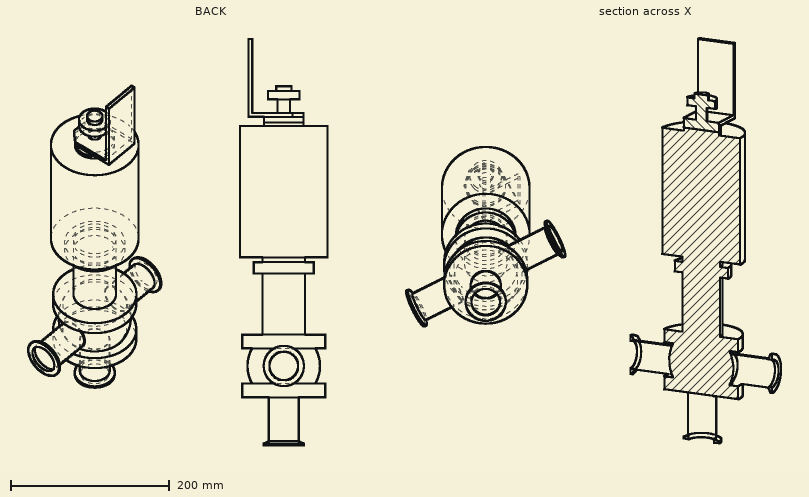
import cadquery as cq

port_axis_height = 100.5
lower_flange_bottom = 61.0
lower_flange_top = 78.5
upper_flange_bottom = 2 * port_axis_height - lower_flange_top
upper_flange_top = 2 * port_axis_height - lower_flange_bottom
clamp_bottom = 216.5
clamp_top = 231.0
actuator_bottom = 237.0
actuator_top = 402.5
seat_top = 406.5

ball_diameter = 91.5
flange_diameter = 105.0
neck_diameter = 54.0
clamp_diameter = 76.0
actuator_diameter = 110.5

port_length = 200.0 / 2
pipe_diameter = 38.0
bore_diameter = 36.0
ferrule_diameter = 50.5
ferrule_rim = 2.5
ferrule_length = 5.5

overall_height = 512.0
boss_diameter = 50.0
bracket_bottom = 413.5
bracket_thickness = 5.0
bracket_width = boss_diameter
bracket_left = -boss_diameter / 2
bracket_right = 44.5
bracket_corner = 14.5
stem_diameter = 16.0
stem_top = 452.5
collar_diameter = 40.0
collar_bottom = 435.5
collar_top = 446.5
cap_diameter = 19.5


def upright_cylinder(diameter, bottom, top):
    """Solid cylinder on the vertical axis."""
    return cq.Workplane("XY").workplane(offset=bottom).circle(diameter / 2).extrude(top - bottom)


def make_pipe(length):
    """Solid pipe on the Z axis with a tapered ferrule at its lower end, z = 0."""
    return (
        cq.Workplane("XZ")
        .moveTo(0, 0)
        .lineTo(ferrule_diameter / 2, 0)
        .lineTo(ferrule_diameter / 2, ferrule_rim)
        .lineTo(pipe_diameter / 2, ferrule_length)
        .lineTo(pipe_diameter / 2, length)
        .lineTo(0, length)
        .close()
        .revolve(360, (0, 0, 0), (0, 1, 0))
    )


def place_side_port(shape, side):
    """Move a shape from the Z axis to a side port; side is -1 for -Y and 1 for +Y."""
    turned = shape.rotate((0, 0, 0), (1, 0, 0), side * 90)
    return turned.translate((0, side * port_length, port_axis_height))


def make_ball():
    """Ball chamber, cut flat where it meets the two flanges."""
    ball = cq.Workplane("XY").sphere(ball_diameter / 2).translate((0, 0, port_axis_height))
    return ball.intersect(upright_cylinder(ball_diameter, lower_flange_bottom, upper_flange_top))


def make_valve():
    """Valve body, neck and actuator, with the seat for the indicator on top."""
    valve = make_pipe(lower_flange_bottom)
    valve = valve.cut(upright_cylinder(bore_diameter, 0, lower_flange_bottom))

    ball = make_ball()
    for side in (-1, 1):
        pipe = place_side_port(make_pipe(port_length), side)
        bore = place_side_port(upright_cylinder(bore_diameter, 0, port_length), side)
        valve = valve.union(pipe.cut(bore))
    valve = valve.union(ball)

    for diameter, bottom, top in (
        (flange_diameter, lower_flange_bottom, lower_flange_top),
        (flange_diameter, upper_flange_bottom, upper_flange_top),
        (neck_diameter, upper_flange_top, actuator_bottom),
        (clamp_diameter, clamp_bottom, clamp_top),
        (actuator_diameter, actuator_bottom, actuator_top),
        (boss_diameter, actuator_top, seat_top),
    ):
        valve = valve.union(upright_cylinder(diameter, bottom, top))
    return valve


def make_bracket():
    """L-shaped plate with two cut corners on its free horizontal end."""
    bracket = (
        cq.Workplane("XZ")
        .moveTo(bracket_left, bracket_bottom)
        .lineTo(bracket_right, bracket_bottom)
        .lineTo(bracket_right, overall_height)
        .lineTo(bracket_right - bracket_thickness, overall_height)
        .lineTo(bracket_right - bracket_thickness, bracket_bottom + bracket_thickness)
        .lineTo(bracket_left, bracket_bottom + bracket_thickness)
        .close()
        .extrude(bracket_width / 2, both=True)
    )
    return bracket.faces("<X").edges("|Z").chamfer(bracket_corner)


def make_indicator():
    """Boss, bracket and collared stem standing on the actuator seat."""
    indicator = make_bracket()
    for diameter, bottom, top in (
        (boss_diameter, seat_top, bracket_bottom),
        (stem_diameter, bracket_bottom, collar_bottom),
        (collar_diameter, collar_bottom, collar_top),
        (cap_diameter, collar_top, stem_top),
    ):
        indicator = indicator.union(upright_cylinder(diameter, bottom, top))
    return indicator


valve = make_valve()
indicator = make_indicator()
result = cq.Compound.makeCompound([*valve.solids().vals(), *indicator.solids().vals()])